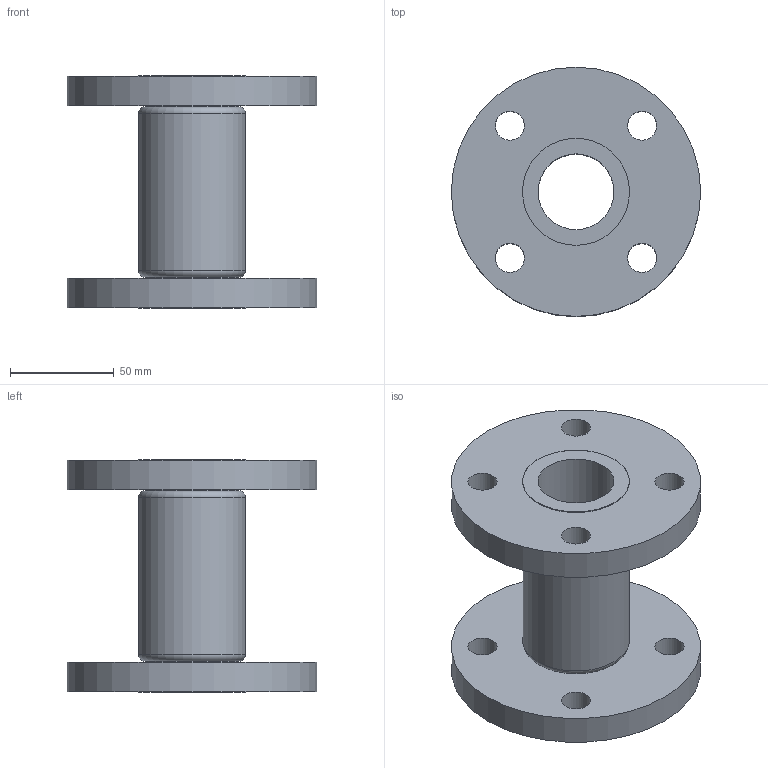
import cadquery as cq

overall_length = 112.0
flange_diameter = 120.0

flange_thickness = 14.0
raised_face_height = 0.4
raised_face_diameter = 51.5

body_diameter = raised_face_diameter
body_end_radius = 3.2
neck_length = 0.6
neck_diameter = body_diameter - 2 * body_end_radius
bore_diameter = 36.5

bolt_count = 4
bolt_hole_diameter = 14.0
bolt_circle_diameter = 90.0
first_bolt_angle = 180.0 / bolt_count

end_z = overall_length / 2
flange_outer_z = end_z - raised_face_height
flange_inner_z = flange_outer_z - flange_thickness
body_end_z = flange_inner_z - neck_length


def cylinder(diameter, z_start, z_end):
    """Cylinder about the Z axis between two heights."""
    return cq.Workplane("XY").workplane(offset=z_start).circle(diameter / 2).extrude(z_end - z_start)


def make_body():
    """Central barrel with both end edges rounded, on a core that forms the necks."""
    barrel = cylinder(body_diameter, -body_end_z, body_end_z)
    core = cylinder(neck_diameter, -flange_inner_z, flange_inner_z)
    return barrel.faces("|Z").edges().fillet(body_end_radius).union(core)


def make_upper_flange():
    """Flange disc with its raised face on top and the bolt holes through it."""
    disc = cylinder(flange_diameter, flange_inner_z, flange_outer_z)
    raised_face = cylinder(raised_face_diameter, flange_outer_z, end_z)
    bolt_holes = (
        cq.Workplane("XY")
        .workplane(offset=flange_inner_z)
        .polarArray(bolt_circle_diameter / 2, first_bolt_angle, 360, bolt_count)
        .circle(bolt_hole_diameter / 2)
        .extrude(flange_thickness)
    )
    return disc.union(raised_face).cut(bolt_holes)


upper_flange = make_upper_flange()
lower_flange = upper_flange.mirror("XY")
bore = cylinder(bore_diameter, -end_z, end_z)

result = make_body().union(upper_flange).union(lower_flange).cut(bore)